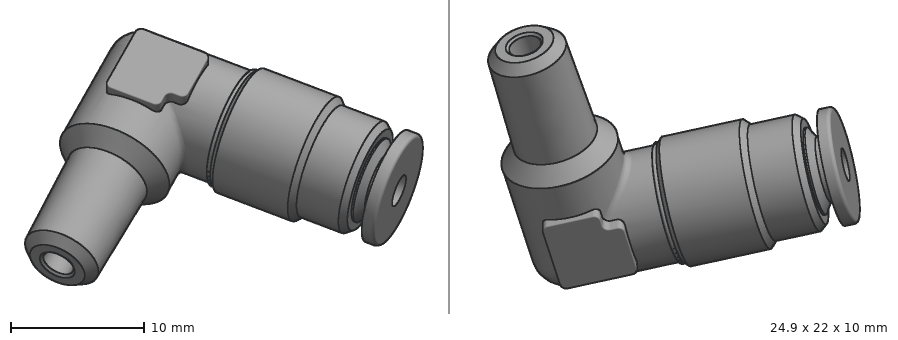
import cadquery as cq
import math

arm_radius = 9.0 / 2
outer_bend_fillet = 2.45
inner_bend_fillet = 0.5

sleeve_radius = 10.0 / 2
sleeve_start = 7.28
sleeve_end = 13.49
sleeve_chamfer = sleeve_radius - arm_radius
sleeve_chamfer_angle = math.radians(45)
sleeve_root_fillet = 0.5

nose_end = 18.0
nose_chamfer_length = 0.55
nose_tip_radius = 4.06

collar_radius = 3.37
collar_cone_start = 18.15
neck_start = 18.7
neck_radius = 2.5
neck_root_fillet = 0.25
flange_start = 19.37
flange_end = 20.4
flange_rim_fillet = 0.3

flare_start = 6.6
flare_end = 6.75
flare_radius = 4.54
plug_start = 8.03
plug_start_radius = 3.27
plug_chamfer_start = 16.2
plug_chamfer_radius = 3.05
plug_end = 16.98
plug_tip_radius = 2.27

bore_radius = 1.25
bore_chamfer = 0.2

pad_near = 2.25
pad_far = 3.75
pad_height = sleeve_radius
pad_corner_fillet = 0.5
pad_rim_fillet = 0.1

hollow_width = 4.0
hollow_floor = 4.11


def arm_half(length, direction, side):
    """Plain cylinder through the bend, kept on one side of the diagonal mitre plane."""
    overrun = 2 * arm_radius
    cylinder = cq.Solid.makeCylinder(arm_radius, length + overrun, direction * -overrun, direction)
    reach = 2 * overrun
    half_space = (
        cq.Workplane("XY")
        .polyline([(-reach, reach), (reach, -reach), (side * reach, side * reach)])
        .close()
        .extrude(overrun, both=True)
    )
    return half_space.intersect(cq.Workplane(cylinder))


def make_elbow():
    """Mitred pair of arms with the outside and inside of the bend rounded."""
    tube_half = arm_half(sleeve_start - sleeve_chamfer, cq.Vector(1, 0, 0), 1)
    plug_half = arm_half(flare_start, cq.Vector(0, -1, 0), -1)
    elbow = tube_half.union(plug_half)
    hollow_depth = sleeve_radius - hollow_floor
    hollow = cq.Workplane("XY").workplane(offset=hollow_floor).rect(hollow_width, hollow_width)
    hollow = hollow.extrude(hollow_depth)
    elbow = elbow.cut(hollow).cut(hollow.mirror("XY"))

    outer_edge = cq.selectors.NearestToPointSelector((-arm_radius, arm_radius, 0))
    inner_edge = cq.selectors.NearestToPointSelector((arm_radius, -arm_radius, 0))
    elbow = elbow.edges(outer_edge).fillet(outer_bend_fillet)
    return elbow.edges(inner_edge).fillet(inner_bend_fillet)


def make_tube_end():
    """Sleeve, nose and release ring, turned about the X axis."""
    root = sleeve_start - sleeve_chamfer
    root_tangent = sleeve_root_fillet * math.tan(sleeve_chamfer_angle / 2)
    root_arc_length = root_tangent * (1 + math.cos(sleeve_chamfer_angle))
    root_arc_rise = root_tangent * math.sin(sleeve_chamfer_angle)
    profile = (
        cq.Workplane("XY")
        .moveTo(root - root_tangent, 0)
        .lineTo(root - root_tangent, arm_radius)
        .tangentArcPoint((root_arc_length, root_arc_rise))
        .lineTo(sleeve_start, sleeve_radius)
        .lineTo(sleeve_end, sleeve_radius)
        .lineTo(sleeve_end + sleeve_chamfer, arm_radius)
        .lineTo(nose_end - nose_chamfer_length, arm_radius)
        .lineTo(nose_end, nose_tip_radius)
        .lineTo(nose_end, collar_radius)
        .lineTo(collar_cone_start, collar_radius)
        .lineTo(neck_start, neck_radius)
        .lineTo(flange_start - neck_root_fillet, neck_radius)
        .tangentArcPoint((neck_root_fillet, neck_root_fillet))
        .lineTo(flange_start, arm_radius)
        .lineTo(flange_end - flange_rim_fillet, arm_radius)
        .tangentArcPoint((flange_rim_fillet, -flange_rim_fillet))
        .lineTo(flange_end, 0)
        .close()
    )
    return profile.revolve(360, (0, 0, 0), (1, 0, 0))


def make_plug():
    """Flared lip, shoulder cone and tapered plug, turned about the Y axis."""
    profile = (
        cq.Workplane("XY")
        .moveTo(0, -flare_start)
        .lineTo(arm_radius, -flare_start)
        .lineTo(flare_radius, -flare_end)
        .lineTo(plug_start_radius, -plug_start)
        .lineTo(plug_chamfer_radius, -plug_chamfer_start)
        .lineTo(plug_tip_radius, -plug_end)
        .lineTo(0, -plug_end)
        .close()
    )
    return profile.revolve(360, (0, 0, 0), (0, 1, 0))


def make_pad():
    """Upper pad, reaching down to the centre plane so that it closes the hollow under it."""
    outline = [
        (-pad_near, pad_near),
        (pad_far, pad_near),
        (pad_far, -pad_near),
        (pad_near, -pad_near),
        (pad_near, -pad_far),
        (-pad_near, -pad_far),
    ]
    pad = cq.Workplane("XY").polyline(outline).close().extrude(pad_height)
    pad = pad.edges("|Z").fillet(pad_corner_fillet)
    return pad.faces(">Z").edges().fillet(pad_rim_fillet)


def make_bore():
    """Bore of both arms, joined by a ball at the bend, with a chamfered plug mouth."""
    tube_bore = cq.Workplane("YZ").circle(bore_radius).extrude(flange_end)
    plug_bore = cq.Workplane("XZ").circle(bore_radius).extrude(plug_end)
    mouth = cq.Solid.makeCone(
        bore_radius + bore_chamfer,
        bore_radius,
        bore_chamfer,
        cq.Vector(0, -plug_end, 0),
        cq.Vector(0, 1, 0),
    )
    ball = cq.Workplane("XY").sphere(bore_radius)
    return tube_bore.union(plug_bore).union(ball).union(cq.Workplane(mouth))


pad = make_pad()
result = make_elbow().union(make_tube_end()).union(make_plug())
result = result.union(pad).union(pad.mirror("XY")).cut(make_bore())